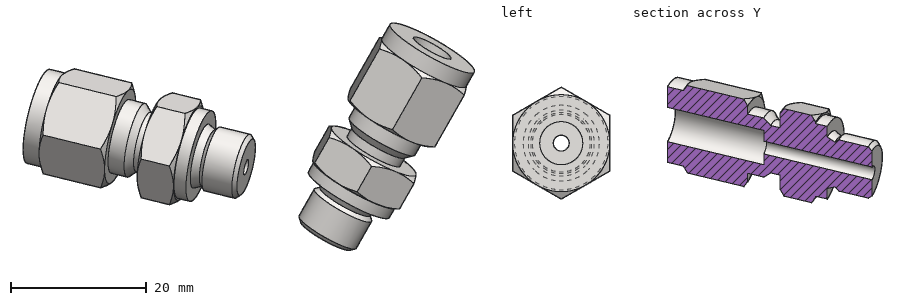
import cadquery as cq
import math


HEX_FLATS = 14.3
HEX_CORNERS = HEX_FLATS / math.cos(math.radians(30))
HEX_BEVEL_ANGLE = 30

NUT_HEX_START = 2.5
NUT_HEX_END = 12.7
SHOULDER_END = 15.2
BODY_HEX_START = 17.75
BODY_HEX_END = 23.4
FLANGE_END = 25.25
RELIEF_BOTTOM = 26.45
OVERALL_LENGTH = 32.3

NUT_COLLAR_DIA = HEX_FLATS
SHOULDER_DIA = 11.2
NECK_DIA = 9.0
FLANGE_DIA = 13.75
THREAD_DIA = 9.728
RELIEF_DIA = 8.5
THREAD_CHAMFER = 0.6

TUBE_SOCKET_DIA = 6.35
TUBE_SOCKET_DEPTH = SHOULDER_END
THROUGH_HOLE_DIA = 2.3


def revolve_about_x(points):
    """Solid of revolution from a closed profile of (x, radius) points."""
    return cq.Workplane("XZ").polyline(points).close().revolve(360, (0, 0, 0), (1, 0, 0))


def rod(start, end, diameter):
    """Plain cylinder on the X axis."""
    radius = diameter / 2
    return revolve_about_x([(start, 0), (start, radius), (end, radius), (end, 0)])


def bevelled_hexagon(start, end):
    """Hexagonal prism whose corners are bevelled conically at both ends."""
    length = end - start
    prism = (
        cq.Workplane("YZ", origin=(start, 0, 0))
        .transformed(rotate=(0, 0, 90))
        .polygon(6, HEX_CORNERS)
        .extrude(length)
    )
    end_radius = HEX_FLATS / 2
    mid_radius = end_radius + length / 2 / math.tan(math.radians(HEX_BEVEL_ANGLE))
    double_cone = revolve_about_x([
        (start, 0),
        (start, end_radius),
        ((start + end) / 2, mid_radius),
        (end, end_radius),
        (end, 0),
    ])
    return prism.intersect(double_cone)


def shoulder_and_neck():
    """Round stretch between the hexagons, stepping down to the neck by a 45 degree cone."""
    shoulder_radius = SHOULDER_DIA / 2
    neck_radius = NECK_DIA / 2
    neck_start = SHOULDER_END + shoulder_radius - neck_radius
    return revolve_about_x([
        (NUT_HEX_END, 0),
        (NUT_HEX_END, shoulder_radius),
        (SHOULDER_END, shoulder_radius),
        (neck_start, neck_radius),
        (BODY_HEX_START, neck_radius),
        (BODY_HEX_START, 0),
    ])


def threaded_end():
    """Thread blank with a V-shaped relief behind it and a 45 degree chamfer at the tip."""
    thread_radius = THREAD_DIA / 2
    relief_radius = RELIEF_DIA / 2
    thread_start = RELIEF_BOTTOM + thread_radius - relief_radius
    return revolve_about_x([
        (FLANGE_END, 0),
        (FLANGE_END, thread_radius),
        (RELIEF_BOTTOM, relief_radius),
        (thread_start, thread_radius),
        (OVERALL_LENGTH - THREAD_CHAMFER, thread_radius),
        (OVERALL_LENGTH, thread_radius - THREAD_CHAMFER),
        (OVERALL_LENGTH, 0),
    ])


fitting = (
    rod(0, NUT_HEX_START, NUT_COLLAR_DIA)
    .union(bevelled_hexagon(NUT_HEX_START, NUT_HEX_END))
    .union(shoulder_and_neck())
    .union(bevelled_hexagon(BODY_HEX_START, BODY_HEX_END))
    .union(rod(BODY_HEX_END, FLANGE_END, FLANGE_DIA))
    .union(threaded_end())
)

result = (
    fitting
    .cut(rod(0, TUBE_SOCKET_DEPTH, TUBE_SOCKET_DIA))
    .cut(rod(0, OVERALL_LENGTH, THROUGH_HOLE_DIA))
)